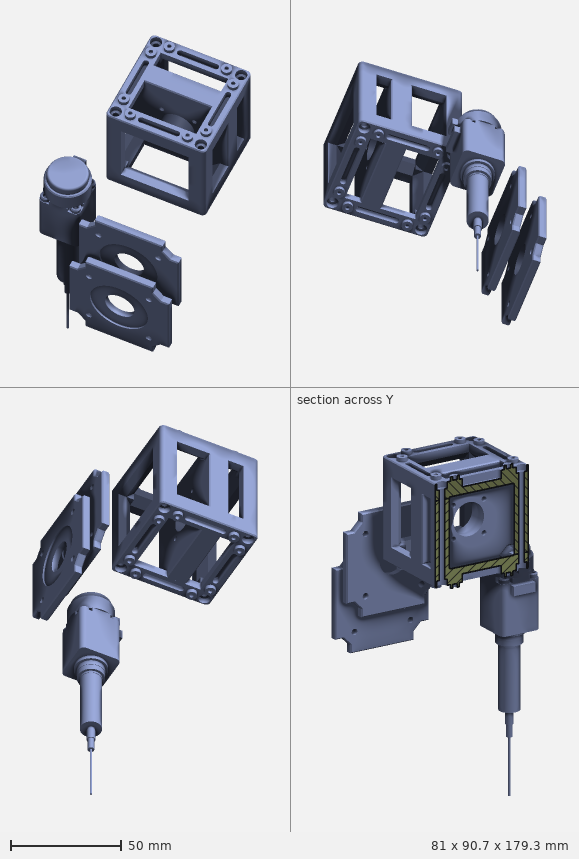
import cadquery as cq
import math

cube_side = 50.0
bar_width = 8.0
bar_chamfer = 4.0
upright_fillet = 2.2
rim_chamfer = 0.5
half_side = cube_side / 2
opening = cube_side - 2 * bar_width

boss_diameter = 5.0
boss_height = 2.0
boss_bore = 2.0
boss_bore_depth = 1.8
boss_spread = 14.3
boss_line = 20.6
slot_length = 20.8
slot_width = 2.9
slot_depth = 4.0
screw_spread = 21.3
screw_hole = 3.0
screw_head_recess = 5.5
screw_recess_depth = 3.0

plate_edge_chamfer = 0.5
centre_plate_thickness = 10.0
centre_plate_y = -half_side + 24.5 + centre_plate_thickness / 2
centre_plate_bore = 16.3
centre_plate_hole = 2.5
centre_plate_hole_spread = 16.3
lens_plate_thickness = 4.0
lens_plate_bore = 14.7
lens_plate_recess = 29.0
lens_plate_recess_depth = 0.9
lens_plate_hole = 3.0
lens_plate_hole_spread = 30.0
lens_plate_centres = [(1.5, -54.0, -37.8), (1.3, -63.7, -58.1)]

probe_x = -43.5
probe_y = -25.1
overall_height = 179.3
needle_tip_z = half_side + boss_height - overall_height
cap_top_z = -31.4
cap_diameter = 19.2
cap_fillet = 1.0
collar_top_z = -35.1
collar_diameter = 21.9
collar_chamfer = 0.5
housing_top_z = -43.5
housing_bottom_z = -71.0
housing_width = 20.5
housing_fillet = 2.5
connector_reach = 13.0
connector_height = 4.7
cap_connector_width = 6.3
cap_connector_z = -38.4
housing_connector_width = 11.7
housing_connector_z = -48.8
corner_recess = 5.5
corner_recess_depth = 2.3
corner_screw_diameter = 5.0
corner_screw_socket = 2.5
corner_screw_inset = 2.7
corner_screw_chamfer = 0.5
stem_steps = [
    (15.6, -72.8),
    (13.0, -75.3),
    (12.7, -78.2),
    (10.4, -79.3),
    (10.0, -110.6),
    (3.5, -111.7),
    (4.0, -117.5),
    (3.0, -123.7),
    (1.0, needle_tip_z),
]


def square_points(spread):
    """Four points at the corners of a square centred on the origin."""
    return [(sx * spread, sy * spread) for sx in (-1, 1) for sy in (-1, 1)]


def notched_block(depth):
    """Square block whose four notched corners fit around the chamfered cube bars."""
    step = half_side - bar_width
    shoulder = step + bar_chamfer
    quarter = [(step, half_side), (step, shoulder), (shoulder, step), (half_side, step)]
    outline = []
    for turn in range(4):
        angle = math.radians(-90 * turn)
        for x, y in quarter:
            outline.append((
                x * math.cos(angle) - y * math.sin(angle),
                x * math.sin(angle) + y * math.cos(angle),
            ))
    return cq.Workplane("XY").polyline(outline).close().extrude(depth / 2, both=True)


def stand_up(flat_body):
    """Turn a body lying in XY so that its upper face looks toward -Y."""
    return flat_body.rotate((0, 0, 0), (1, 0, 0), 90)


def cube_shell():
    """Twelve bars along the cube edges, each with its inner edge chamfered."""
    shell = cq.Workplane("XY").box(cube_side, cube_side, cube_side)
    shell = shell.edges("|Z").fillet(upright_fillet)
    shell = shell.faces("<Z or >Z").edges().chamfer(rim_chamfer)
    core = notched_block(opening)
    shell = shell.cut(core)
    shell = shell.cut(core.rotate((0, 0, 0), (1, 0, 0), 90))
    return shell.cut(core.rotate((0, 0, 0), (0, 1, 0), 90))


def lower_region():
    """Bottom ring with two posts at opposite corners, as a bounding mask."""
    ring = cq.Workplane("XY").workplane(offset=-half_side).rect(cube_side, cube_side).extrude(bar_width)
    post_centre = half_side - bar_width / 2
    posts = (
        cq.Workplane("XY")
        .workplane(offset=-half_side)
        .pushPoints([(-post_centre, -post_centre), (post_centre, post_centre)])
        .rect(bar_width, bar_width)
        .extrude(cube_side - bar_width)
    )
    return ring.union(posts)


def make_lower_frame():
    """Bottom ring and two posts, with the bosses, slots and screw holes underneath."""
    frame = cube_shell().intersect(lower_region())
    underside = cq.Workplane("XY").workplane(offset=-half_side)
    boss_points = []
    for side in (-1, 1):
        for along in (-1, 1):
            boss_points.append((along * boss_spread, side * boss_line))
            boss_points.append((side * boss_line, along * boss_spread))
    bosses = underside.pushPoints(boss_points).circle(boss_diameter / 2).extrude(-boss_height)
    bores = (
        cq.Workplane("XY")
        .workplane(offset=-half_side - boss_height)
        .pushPoints(boss_points)
        .circle(boss_bore / 2)
        .extrude(boss_bore_depth)
    )
    x_slots = (
        underside.pushPoints([(0, -boss_line), (0, boss_line)])
        .slot2D(slot_length, slot_width)
        .extrude(slot_depth)
    )
    y_slots = x_slots.rotate((0, 0, 0), (0, 0, 1), 90)
    screw_points = square_points(screw_spread)
    holes = underside.pushPoints(screw_points).circle(screw_hole / 2).extrude(cube_side)
    recesses = underside.pushPoints(screw_points).circle(screw_head_recess / 2).extrude(screw_recess_depth)
    return frame.union(bosses).cut(bores).cut(x_slots).cut(y_slots).cut(holes).cut(recesses)


def make_upper_frame():
    """The same frame turned over, its posts filling the other two corners."""
    return make_lower_frame().rotate((0, 0, 0), (1, 0, 0), 180)


def notched_plate(thickness):
    """Notched plate with both rims chamfered."""
    return notched_block(thickness).faces("<Z or >Z").edges().chamfer(plate_edge_chamfer)


def make_centre_plate():
    """Thick plate held inside the cube."""
    plate = notched_plate(centre_plate_thickness)
    plate = plate.faces(">Z").workplane().hole(centre_plate_bore)
    plate = (
        plate.faces(">Z")
        .workplane()
        .pushPoints(square_points(centre_plate_hole_spread / 2))
        .hole(centre_plate_hole)
    )
    return stand_up(plate).translate((0, centre_plate_y, 0))


def make_lens_plate(centre):
    """Thin plate with a bore in a wide shallow recess and four screw holes."""
    plate = notched_plate(lens_plate_thickness)
    plate = plate.faces(">Z").workplane().cboreHole(
        lens_plate_bore, lens_plate_recess, lens_plate_recess_depth
    )
    plate = (
        plate.faces(">Z")
        .workplane()
        .pushPoints(square_points(lens_plate_hole_spread / 2))
        .hole(lens_plate_hole)
    )
    return stand_up(plate).translate(centre)


def probe_plane(z):
    """Workplane across the probe axis at height z."""
    return cq.Workplane("XY", origin=(probe_x, probe_y, z))


def connector(width, z):
    """Block reaching out from the probe axis toward +Y."""
    middle_y = connector_reach / 2
    return probe_plane(z).center(0, middle_y).box(width, connector_reach, connector_height)


def make_cap():
    """Round cap on a wider collar, with a small connector at the back."""
    collar = probe_plane(housing_top_z).circle(collar_diameter / 2).extrude(collar_top_z - housing_top_z)
    collar = collar.faces(">Z").edges().chamfer(collar_chamfer)
    cap = probe_plane(collar_top_z).circle(cap_diameter / 2).extrude(cap_top_z - collar_top_z)
    cap = cap.faces(">Z").edges().fillet(cap_fillet)
    return collar.union(cap).union(connector(cap_connector_width, cap_connector_z))


def make_housing():
    """Square housing with a screw head sunk in each upper corner."""
    height = housing_top_z - housing_bottom_z
    housing = probe_plane(housing_bottom_z).rect(housing_width, housing_width).extrude(height)
    housing = housing.edges("|Z").fillet(housing_fillet)
    recess_floor = probe_plane(housing_top_z - corner_recess_depth)
    recesses = (
        recess_floor.pushPoints(square_points(housing_width / 2 - corner_recess / 2))
        .rect(corner_recess, corner_recess)
        .extrude(corner_recess_depth)
    )
    screws = (
        recess_floor.pushPoints(square_points(housing_width / 2 - corner_screw_inset))
        .circle(corner_screw_diameter / 2)
        .circle(corner_screw_socket / 2)
        .extrude(corner_recess_depth)
    )
    screws = screws.faces(">Z").edges("%CIRCLE").chamfer(corner_screw_chamfer)
    return housing.cut(recesses).union(screws).union(connector(housing_connector_width, housing_connector_z))


def make_stem():
    """Stepped round stem ending in the needle."""
    profile = [(0, housing_bottom_z)]
    upper_z = housing_bottom_z
    for diameter, lower_z in stem_steps:
        profile.append((diameter / 2, upper_z))
        profile.append((diameter / 2, lower_z))
        upper_z = lower_z
    profile.append((0, needle_tip_z))
    stem = cq.Workplane("XZ").polyline(profile).close().revolve(360, (0, 0, 0), (0, 1, 0))
    return stem.translate((probe_x, probe_y, 0))


lower_frame = make_lower_frame()
upper_frame = make_upper_frame()
centre_plate = make_centre_plate()
lens_plates = [make_lens_plate(centre) for centre in lens_plate_centres]
cap = make_cap()
housing = make_housing()
stem = make_stem()

result = cq.Compound.makeCompound([
    lower_frame.val(),
    upper_frame.val(),
    centre_plate.val(),
    *[plate.val() for plate in lens_plates],
    cap.val(),
    housing.val(),
    stem.val(),
])